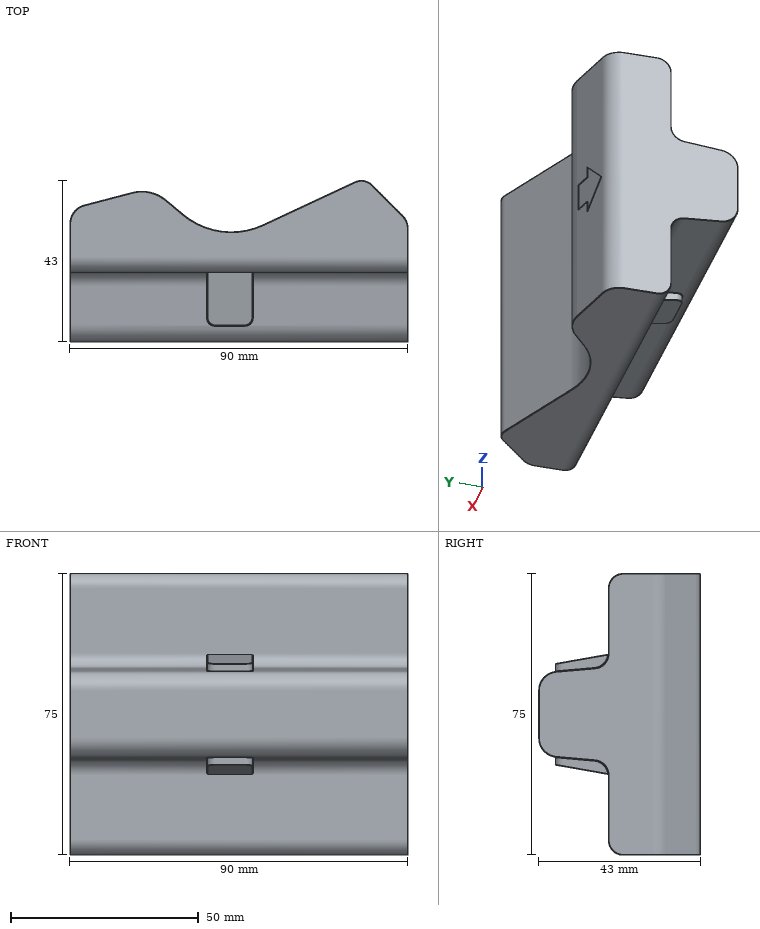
import cadquery as cq
import math

LENGTH = 90.0
HEIGHT = 75.0
EDGE_BREAK = 0.2
SLAB_FRONT = 18.5

BACK_CORNERS = [
    ((LENGTH / 2, 32.2), 5.0),
    ((33.4, 43.8), 4.0),
    ((-5.1, 25.8), 20.0),
    ((-23.4, 41.1), 10.0),
    ((-LENGTH / 2, 35.5), 5.0),
]

NOSE_HALF_HEIGHT = 11.0
NOSE_DRAFT = 5.0
NOSE_RADIUS = 5.0
ROOT_RADIUS = 4.0
SLAB_RADIUS = 4.0

TAB_CENTER_X = -2.4
TAB_WIDTH = 12.1
TAB_TIP_Y = 4.4
TAB_TIP_HALF_HEIGHT = 13.5
TAB_SLOPE = 10.0
TAB_CORNER_RADIUS = 2.1
TAB_OVERLAP = 0.9
TAB_JOINT_TOP = 12.15

ARROW_TIP_X = -40.3
ARROW_HEAD_X = -33.3
ARROW_TAIL_X = -28.8
ARROW_HEAD_HALF = 7.0
ARROW_SHAFT_HALF = 3.9
ARROW_DEPTH = 0.3


def round_corners(solid, corners, direction):
    """Round the edges along one axis that pass through the given points."""
    for point, radius in corners:
        solid = solid.edges(direction).edges(cq.selectors.NearestToPointSelector(point)).fillet(radius)
    return solid


def make_plan_body():
    """Outline with the contoured back, extruded over the full height."""
    outline = [(-LENGTH / 2, 0), (LENGTH / 2, 0)] + [point for point, _ in BACK_CORNERS]
    body = cq.Workplane("XY").polyline(outline).close().extrude(HEIGHT / 2, both=True)
    corners = [((x, y, 0), radius) for (x, y), radius in BACK_CORNERS]
    return round_corners(body, corners, "|Z")


def make_side_body():
    """T-shaped section of slab and nose, extruded over the full length."""
    back = max(y for (_, y), _ in BACK_CORNERS)
    root_half = NOSE_HALF_HEIGHT + SLAB_FRONT * math.tan(math.radians(NOSE_DRAFT))
    upper = [
        (0, NOSE_HALF_HEIGHT),
        (SLAB_FRONT, root_half),
        (SLAB_FRONT, HEIGHT / 2),
    ]
    radii = [NOSE_RADIUS, ROOT_RADIUS, SLAB_RADIUS]
    lower = [(y, -z) for y, z in reversed(upper)]
    outline = upper + [(back, HEIGHT / 2), (back, -HEIGHT / 2)] + lower
    body = cq.Workplane("YZ").polyline(outline).close().extrude(LENGTH / 2, both=True)
    corners = [((0, y, side * z), radius) for (y, z), radius in zip(upper, radii) for side in (1, -1)]
    return round_corners(body, corners, "|X")


def make_tab():
    """Upper tab: an upright pad with rounded tip corners, cut off by a sloping top face."""
    depth = SLAB_FRONT + TAB_OVERLAP - TAB_TIP_Y
    rise = depth * math.tan(math.radians(TAB_SLOPE))
    section = [
        (TAB_TIP_Y, 0),
        (TAB_TIP_Y, TAB_TIP_HALF_HEIGHT),
        (TAB_TIP_Y + depth, TAB_TIP_HALF_HEIGHT + rise),
        (TAB_TIP_Y + depth, 0),
    ]
    pad = cq.Workplane("YZ").polyline(section).close().extrude(TAB_WIDTH / 2, both=True)
    pad = pad.edges("|Z and <Y").fillet(TAB_CORNER_RADIUS)
    top = pad.faces(">Z").edges("not >Y")
    return top.chamfer(EDGE_BREAK).translate((TAB_CENTER_X, 0, 0))


def make_arrow():
    """Arrow-shaped cutter that sinks into the left back slope."""
    (peak_x, peak_y), (end_x, end_y) = [point for point, _ in BACK_CORNERS[-2:]]
    run, rise = peak_x - end_x, peak_y - end_y
    slope_length = math.hypot(run, rise)
    along = slope_length / run
    face = cq.Plane(
        origin=(end_x, end_y, 0),
        xDir=(run, rise, 0),
        normal=(-rise, run, 0),
    )
    tip, head, tail = [(x - end_x) * along for x in (ARROW_TIP_X, ARROW_HEAD_X, ARROW_TAIL_X)]
    half = [(head, ARROW_HEAD_HALF), (head, ARROW_SHAFT_HALF), (tail, ARROW_SHAFT_HALF)]
    outline = [(tip, 0)] + half + [(s, -t) for s, t in reversed(half)]
    return cq.Workplane(face).polyline(outline).close().extrude(ARROW_DEPTH, both=True)


def break_end_edges(body):
    """Chamfer the outer edges of the section; full-height edges are smooth seams and stay."""
    return (
        body.edges("not |X")
        .filter(lambda edge: edge.BoundingBox().zlen < HEIGHT - SLAB_RADIUS)
        .chamfer(EDGE_BREAK)
    )


def flare_tab_bases(body):
    """Chamfer the joint where each tab meets the sloping side of the nose."""
    reach = TAB_WIDTH / 2 + TAB_OVERLAP
    for side in (1, -1):
        joint = cq.selectors.BoxSelector(
            (TAB_CENTER_X - reach, 0, side * NOSE_HALF_HEIGHT),
            (TAB_CENTER_X + reach, SLAB_FRONT - ROOT_RADIUS, side * TAB_JOINT_TOP),
        )
        body = body.edges(joint).chamfer(EDGE_BREAK)
    return body


section_body = break_end_edges(make_plan_body().intersect(make_side_body()))
tab = make_tab()
tabbed_body = flare_tab_bases(section_body.union(tab).union(tab.mirror("XY")))
result = tabbed_body.cut(make_arrow())